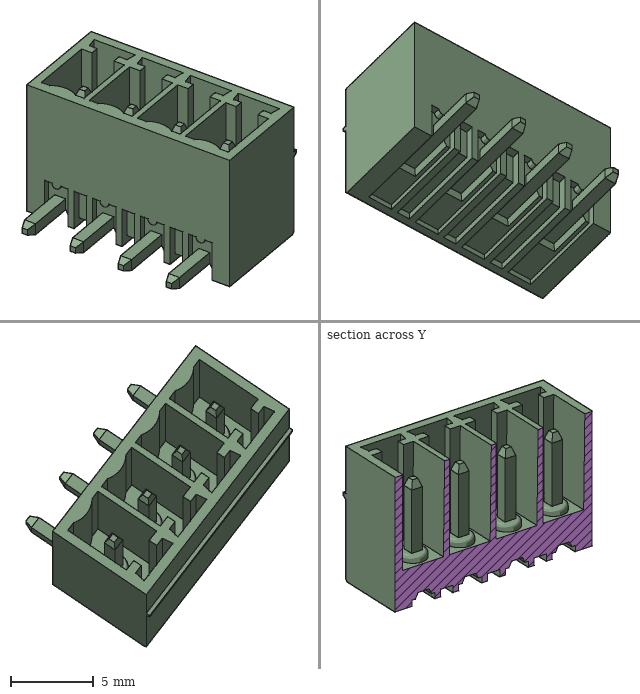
import cadquery as cq


length = 14.8
depth = 7.0
height = 9.2
rear_chamfer = 0.15
rib_out = 0.25
rib_top = 5.96
rib_base_height = 0.4
rib_tip_height = 0.22

ways = 4
end_margin = 2.15
pitch = (length - 2 * end_margin) / (ways - 1)
pin_xs = [(i - (ways - 1) / 2) * pitch for i in range(ways)]
gap_xs = [(a + b) / 2 for a, b in zip(pin_xs, pin_xs[1:])]

pin_size = 0.8
pin_z = 1.2
pin_y = 3.0
pin_reach = 3.4
pin_top = 8.07
tip_size = 0.4
tip_length = 0.56

cavity_half = 1.55
cavity_floor = 2.7
wall_draft = 0.09
front_wall = 0.71
rear_wall = 0.64
inner_back = depth - rear_wall
bay_back = 5.09
neck_back = 5.65
neck_half = 0.8
tail_front_half = 1.38
tail_back_half = 1.5
bulge_half = 0.95
bulge_height = 0.3
collar_diameter = 1.8
collar_height = 0.5
collar_round = 0.25

opening_height = 2.72
recess_width = 1.7
recess_depth = 0.45
core_bottom = 0.41
stub_radius = 0.31
slot_width = 0.9
slot_depth = 0.55
slot_core_bottom = 0.5
lead_in_width = 1.21


def block(x, width, y0, y1, z0, z1):
    """Box centred on x, spanning y0..y1 and z0..z1."""
    return cq.Workplane("XY").box(width, y1 - y0, z1 - z0, centered=(True, False, False)).translate((x, y0, z0))


def make_housing():
    """Side profile with the latching rib and chamfered rear bottom edge, swept along the row."""
    profile = [
        (0, 0),
        (depth - rear_chamfer, 0),
        (depth, rear_chamfer),
        (depth, rib_top - rib_base_height),
        (depth + rib_out, rib_top - rib_tip_height),
        (depth + rib_out, rib_top),
        (depth, rib_top),
        (depth, height),
        (0, height),
    ]
    return cq.Workplane("YZ").polyline(profile).close().extrude(length / 2, both=True)


def make_cavity():
    """Void of one cavity: a bay with one drafted wall, plus the keyed neck and dovetail tail."""
    bay_section = [
        (-cavity_half, cavity_floor),
        (cavity_half - wall_draft, cavity_floor),
        (cavity_half, height),
        (-cavity_half, height),
    ]
    bay = (
        cq.Workplane("XZ", origin=(0, front_wall, 0))
        .polyline(bay_section).close().extrude(front_wall - bay_back)
    )
    bulge = (
        cq.Workplane("XY")
        .moveTo(-bulge_half, front_wall)
        .threePointArc((0, front_wall + bulge_height), (bulge_half, front_wall))
        .close().extrude(height)
    )
    neck = block(0, 2 * neck_half, bay_back, neck_back, cavity_floor, height)
    tail = (
        cq.Workplane("XY", origin=(0, 0, cavity_floor))
        .polyline([
            (-tail_front_half, neck_back),
            (tail_front_half, neck_back),
            (tail_back_half, inner_back),
            (-tail_back_half, inner_back),
        ])
        .close().extrude(height - cavity_floor)
    )
    return bay.cut(bulge).union(neck).union(tail)


def make_pin_recess():
    """Front recess around one pin, the channel under the core and the flared lead-in below the pin."""
    recess = block(0, recess_width, 0, recess_depth, 0, opening_height)
    stub = (
        cq.Workplane("XZ").center(0, opening_height)
        .circle(stub_radius).extrude(-recess_depth)
    )
    channel = block(0, recess_width, 0, inner_back, 0, core_bottom)
    pin_bottom = pin_z - pin_size / 2
    top_length = pin_y + pin_size / 2
    bottom_length = pin_y + lead_in_width / 2
    lead_in = (
        cq.Workplane("XY", origin=(0, 0, core_bottom))
        .center(0, bottom_length / 2).rect(lead_in_width, bottom_length)
        .workplane(offset=pin_bottom - core_bottom)
        .center(0, (top_length - bottom_length) / 2).rect(pin_size, top_length)
        .loft(ruled=True)
    )
    return recess.cut(stub).union(channel).union(lead_in)


def make_gap_slot():
    """Narrow front slot between two pins, with its channel under the core."""
    slot = block(0, slot_width, 0, slot_depth, 0, opening_height)
    return slot.union(block(0, slot_width, 0, inner_back, 0, slot_core_bottom))


def make_leg(plane, origin, leg_length):
    """Square bar along the plane normal, ending in a tapered tip."""
    shank_length = leg_length - tip_length
    shank = cq.Workplane(plane, origin=origin).rect(pin_size, pin_size).extrude(shank_length)
    tip = (
        cq.Workplane(plane, origin=origin).workplane(offset=shank_length)
        .rect(pin_size, pin_size)
        .workplane(offset=tip_length).rect(tip_size, tip_size)
        .loft(ruled=True)
    )
    return shank.union(tip)


def make_contact():
    """Bent pin: solder leg toward the front, contact leg up through a rounded collar."""
    solder_leg = make_leg("XZ", (0, pin_y, pin_z), pin_y + pin_reach)
    leg_base = pin_z - pin_size / 2
    contact_leg = make_leg("XY", (0, pin_y, leg_base), pin_top - leg_base)
    collar = (
        cq.Workplane("XY", origin=(0, pin_y, cavity_floor))
        .circle(collar_diameter / 2).extrude(collar_height)
        .faces(">Z").edges().fillet(collar_round)
    )
    return solder_leg.union(contact_leg).union(collar)


def repeat(shape, xs):
    """Copies of a shape at each position along the row."""
    copies = cq.Workplane("XY")
    for x in xs:
        copies = copies.add(shape.translate((x, 0, 0)))
    return copies.combine()


result = (
    make_housing()
    .cut(repeat(make_cavity(), pin_xs))
    .cut(repeat(make_pin_recess(), pin_xs))
    .cut(repeat(make_gap_slot(), gap_xs))
    .union(repeat(make_contact(), pin_xs))
)